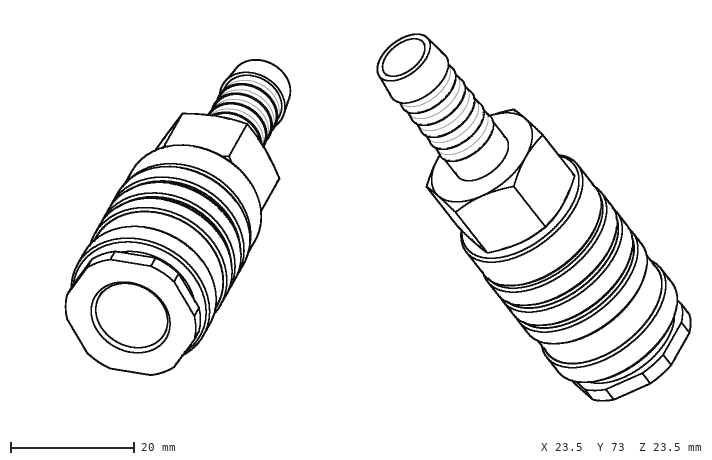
import cadquery as cq
import math

length = 73.0
hexagon_flat_to_corner = math.cos(math.pi / 6)

tail_radius = 5.0
tip_length = 4.9
tip_barb_radius = 5.55
barb_count = 5
barb_length = 1.5
barb_pitch = 3.0
barb_radius = 5.2
first_barb_start = tip_length + barb_pitch - barb_length

nut_start = 25.0
nut_end = 36.9
nut_flats = 19.0
nut_chamfer_angle = 30.0
nut_neck_radius = 9.0

collar_start = 37.3
collar_end = 44.1
collar_radius = 11.5
sleeve_start = 44.5
sleeve_end = 68.0
rib_radius = 11.75
groove_radius = 11.25
gap_radius = 9.0
edge_chamfer = 0.45
rib_spans = [(sleeve_start, 48.75), (49.5, 53.75), (54.5, 58.35), (63.4, sleeve_end)]

flange_start = 70.4
flange_radius = 11.05
flange_flats = 21.0
socket_neck_radius = 9.5

hose_bore_radius = 4.0
socket_bore_radius = 6.1
socket_bore_depth = 25.0
socket_mouth_radius = 6.7


def frustum(start, end, start_radius, end_radius):
    """Solid of revolution about Y, tapering from start_radius to end_radius."""
    outline = [(0, -start), (start_radius, -start), (end_radius, -end), (0, -end)]
    return cq.Workplane("XY").polyline(outline).close().revolve(360, (0, 0, 0), (0, 1, 0))


def cylinder(start, end, radius):
    return frustum(start, end, radius, radius)


def chamfered_ring(start, end, radius):
    return cylinder(start, end, radius).edges().chamfer(edge_chamfer)


def hexagonal_bar(start, end, across_flats):
    """Hexagonal prism along Y with corners on the X axis and flats facing +Z and -Z."""
    corner_diameter = across_flats / hexagon_flat_to_corner
    plane = cq.Workplane("XZ", origin=(0, -start, 0))
    return plane.polygon(6, corner_diameter).extrude(end - start)


def hose_tail():
    tail = cylinder(0, nut_start, tail_radius)
    tail = tail.union(frustum(0, tip_length, tail_radius, tip_barb_radius))
    for index in range(barb_count):
        start = first_barb_start + index * barb_pitch
        tail = tail.union(frustum(start, start + barb_length, tail_radius, barb_radius))
    return tail


def nut():
    """Hexagon with its corners turned off conically at both ends."""
    flat_radius = nut_flats / 2
    corner_radius = flat_radius / hexagon_flat_to_corner
    chamfer_length = (corner_radius - flat_radius) * math.tan(math.radians(nut_chamfer_angle))
    tail_cone_end = nut_start + chamfer_length
    sleeve_cone_start = nut_end - chamfer_length
    envelope = frustum(nut_start, tail_cone_end, flat_radius, corner_radius)
    envelope = envelope.union(cylinder(tail_cone_end, sleeve_cone_start, corner_radius))
    envelope = envelope.union(frustum(sleeve_cone_start, nut_end, corner_radius, flat_radius))
    return hexagonal_bar(nut_start, nut_end, nut_flats).intersect(envelope)


def sleeve():
    body = cylinder(nut_end, collar_start, nut_neck_radius)
    body = body.union(chamfered_ring(collar_start, collar_end, collar_radius))
    body = body.union(cylinder(collar_end, sleeve_start, gap_radius))
    body = body.union(cylinder(sleeve_start + edge_chamfer, sleeve_end - edge_chamfer, groove_radius))
    for start, end in rib_spans:
        body = body.union(chamfered_ring(start, end, rib_radius))
    return body


def socket_end():
    neck = cylinder(sleeve_end, flange_start, socket_neck_radius)
    flange = cylinder(flange_start, length, flange_radius)
    flange = flange.intersect(hexagonal_bar(flange_start, length, flange_flats))
    return neck.union(flange)


def bores():
    chamfer_depth = socket_mouth_radius - socket_bore_radius
    hose_bore = cylinder(0, length, hose_bore_radius)
    socket_bore = cylinder(length - socket_bore_depth, length, socket_bore_radius)
    mouth = frustum(length - chamfer_depth, length, socket_bore_radius, socket_mouth_radius)
    return hose_bore.union(socket_bore).union(mouth)


coupling = hose_tail().union(nut()).union(sleeve()).union(socket_end()).cut(bores())
result = coupling.translate((0, length / 2, 0))